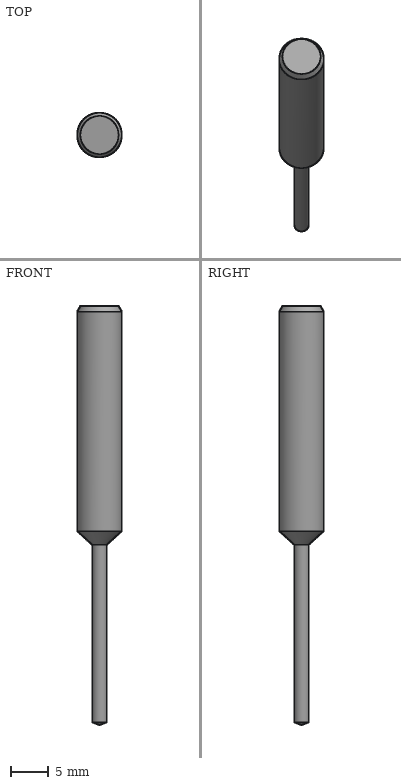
import cadquery as cq
import math

total_length = 56.0

shank_diameter = 6.0
shank_length = 31.9
cone_height = 1.85
top_chamfer_height = 0.8
top_chamfer_width = 0.45
shank_radius = shank_diameter / 2

pin_diameter = 1.95
tip_angle = 135.0
pin_radius = pin_diameter / 2
tip_height = pin_radius / math.tan(math.radians(tip_angle / 2))

shank_bottom_z = total_length - shank_length
cone_top_z = shank_bottom_z + cone_height


def revolve_profile(points):
    """Revolve a closed (radius, z) outline about the Z axis."""
    return cq.Workplane("XZ").polyline(points).close().revolve(360, (0, 0, 0), (0, 1, 0))


def make_shank():
    """Cylinder with a chamfered top and a conical lower end."""
    return revolve_profile([
        (0, shank_bottom_z),
        (pin_radius, shank_bottom_z),
        (shank_radius, cone_top_z),
        (shank_radius, total_length - top_chamfer_height),
        (shank_radius - top_chamfer_width, total_length),
        (0, total_length),
    ])


def make_pin():
    """Slender rod with a pointed tip, butting against the shank's lower end."""
    return revolve_profile([
        (0, 0),
        (pin_radius, tip_height),
        (pin_radius, shank_bottom_z),
        (0, shank_bottom_z),
    ])


shank = make_shank()
pin = make_pin()
result = cq.Compound.makeCompound([shank.val(), pin.val()])